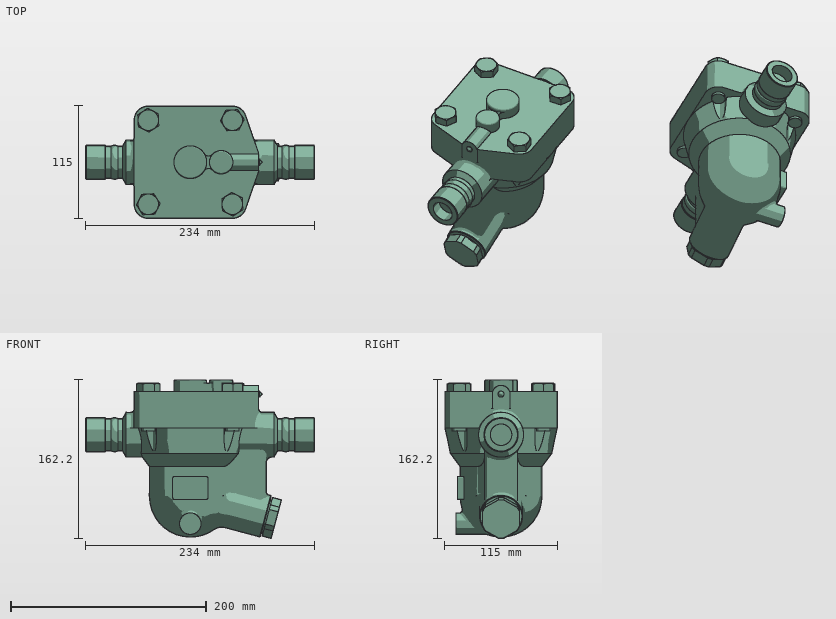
import cadquery as cq
import math


PIPE_LEFT = -107.0
PIPE_RIGHT = 127.0
PIPE_MID = (PIPE_LEFT + PIPE_RIGHT) / 2
PIPE_HALF = (PIPE_RIGHT - PIPE_LEFT) / 2
HUB_D = 46.0
HUB_HALF = 75.7
STUB_D = 35.0
STUB_LENGTH = 20.5
NECK_D = 33.2
NECK_HALF = 79.3
BEAD_START = 84.0
BEAD_END = 91.0
STUB_CHAMFER = 0.7
BORE_D = 22.0
BORE_DEPTH = 12.5

BOLT_OFFSET = 43.0
FLANGE_CORNER_R = 14.5
FLANGE_NOSE_X = 70.0
FLANGE_NOSE_HALF = 9.0
FLANGE_BOTTOM = 7.0
FLANGE_SPLIT = 26.8
COVER_TOP = 44.4
HUB_FILLET = 3.5

HEX_HALF_ANGLE = math.radians(30)
BOLT_CHAMFER_ANGLE = math.radians(30)
BOLT_FLATS = 21.0
BOLT_HEAD_HEIGHT = 8.3
BOLT_TWIST = 3.0
BOLT_END_D = 14.0
BOLT_END_LENGTH = 3.0
SCALLOP_R = 8.4

SKIRT_TOP_R = 57.5
SHOULDER_R = 52.0
SHOULDER_Z = -19.0
BARREL_R = 42.0
BARREL_TOP_Z = -32.4
DOME_Z = -62.8

BOSS_TOP = 56.0
MAIN_BOSS_R = 16.75
SIDE_BOSS_R = 12.0
SIDE_BOSS_X = 31.6
BOSS_FILLET = 1.5
WEB_TOP = 52.7
WEB_FILLET = 5.5
TUBE_R = 9.0
TUBE_Z = 41.5
TIP_R = 3.1
TIP_STRAIGHT = 0.7
TIP_LENGTH = 3.7
TIP_ROOT = 1.0

PORT_ANGLE = math.radians(15)
PORT_D = 44.0
PORT_LENGTH = 80.0
PORT_FILLET = 14.0
PORT_CHAMFER = 0.7
COLLAR_D = 35.0
COLLAR_LENGTH = 1.6
PLUG_FLATS = 38.0
PLUG_CORNER_D = 41.0
PLUG_THICKNESS = 9.5

RIB_HALF = 16.8
RIB_END_X = 77.8
RIB_EDGE_R = 6.5
RIB_BLEND_R = 16.5
RIB_FOOT = 10.0
RIB_TOP = -8.0
RIB_PIPE_FILLET = 5.5
RIB_PORT_FILLET = 3.0
RIB_FILLET_START_X = 55.0

DRAIN_D = 22.0
DRAIN_Z = -91.0
DRAIN_FACE_Y = -46.3
DRAIN_FILLET = 3.0
DRAIN_RIM = 0.6
PLATE_WIDTH = 36.0
PLATE_HEIGHT = 24.0
PLATE_Z = -54.5
PLATE_FACE_Y = -44.8
PLATE_CORNER_R = 2.0

BOX_MARGIN = 1.0


def cylinder(radius, bottom, top, x=0.0, y=0.0):
    """Upright cylinder between two heights."""
    return cq.Workplane("XY", origin=(x, y, bottom)).circle(radius).extrude(top - bottom)


def hexagon(flats, height):
    """Hexagonal prism standing on the XY plane."""
    return cq.Workplane("XY").polygon(6, flats / math.cos(HEX_HALF_ANGLE)).extrude(height)


def bolt_head():
    """Hexagon head, its upper corners turned off at an angle."""
    corners = BOLT_FLATS / math.cos(HEX_HALF_ANGLE)
    run = (corners - BOLT_FLATS) / 2
    drop = run * math.tan(BOLT_CHAMFER_ANGLE)
    turned = cylinder(corners / 2, 0, BOLT_HEAD_HEIGHT).faces(">Z").chamfer(drop, run)
    return hexagon(BOLT_FLATS, BOLT_HEAD_HEIGHT).intersect(turned)


def fillet_near(solid, low, high, radius):
    """Fillet the edges whose centres lie in the box between two corners."""
    return solid.edges(cq.selectors.BoxSelector(low, high)).fillet(radius)


def pipe_end():
    """One pipe end with hub, cone, beaded neck and stub, lying along +X from the origin."""
    bead_mid = (BEAD_START + BEAD_END) / 2
    stub_start = PIPE_HALF - STUB_LENGTH
    outline = (
        cq.Workplane("XY")
        .moveTo(0, 0)
        .lineTo(0, HUB_D / 2)
        .lineTo(HUB_HALF, HUB_D / 2)
        .lineTo(NECK_HALF, NECK_D / 2)
        .lineTo(BEAD_START, NECK_D / 2)
        .threePointArc((bead_mid, STUB_D / 2), (BEAD_END, NECK_D / 2))
        .lineTo(stub_start, NECK_D / 2)
        .lineTo(stub_start, STUB_D / 2 - STUB_CHAMFER)
        .lineTo(stub_start + STUB_CHAMFER, STUB_D / 2)
        .lineTo(PIPE_HALF - STUB_CHAMFER, STUB_D / 2)
        .lineTo(PIPE_HALF, STUB_D / 2 - STUB_CHAMFER)
        .lineTo(PIPE_HALF, 0)
        .close()
    )
    return outline.revolve(360, (0, 0, 0), (1, 0, 0))


def pipe():
    """Both pipe ends, mirrored about the middle of the pipe."""
    end = pipe_end()
    both = end.union(end.mirror("YZ"))
    return both.translate((PIPE_MID, 0, 0))


def bores():
    """Blind bores in both pipe ends."""
    left = cq.Workplane("YZ", origin=(PIPE_LEFT, 0, 0)).circle(BORE_D / 2).extrude(BORE_DEPTH)
    right = cq.Workplane("YZ", origin=(PIPE_RIGHT, 0, 0)).circle(BORE_D / 2).extrude(-BORE_DEPTH)
    return left.union(right)


def flange_plate(bottom, top):
    """Square plate with rounded corners whose +X side tapers to a blunt nose."""
    side = BOLT_OFFSET + FLANGE_CORNER_R
    to_nose_x = FLANGE_NOSE_X - BOLT_OFFSET
    to_nose_y = FLANGE_NOSE_HALF - BOLT_OFFSET
    nose_distance = math.hypot(to_nose_x, to_nose_y)
    tangent_angle = math.atan2(to_nose_y, to_nose_x) + math.acos(FLANGE_CORNER_R / nose_distance)
    middle_angle = (tangent_angle + math.pi / 2) / 2

    def on_corner(angle, sign):
        x = BOLT_OFFSET + FLANGE_CORNER_R * math.cos(angle)
        y = BOLT_OFFSET + FLANGE_CORNER_R * math.sin(angle)
        return (x, sign * y)

    diagonal = BOLT_OFFSET + FLANGE_CORNER_R / math.sqrt(2)
    return (
        cq.Workplane("XY", origin=(0, 0, bottom))
        .moveTo(-BOLT_OFFSET, -side)
        .lineTo(BOLT_OFFSET, -side)
        .threePointArc(on_corner(middle_angle, -1), on_corner(tangent_angle, -1))
        .lineTo(FLANGE_NOSE_X, -FLANGE_NOSE_HALF)
        .lineTo(FLANGE_NOSE_X, FLANGE_NOSE_HALF)
        .lineTo(*on_corner(tangent_angle, 1))
        .threePointArc(on_corner(middle_angle, 1), (BOLT_OFFSET, side))
        .lineTo(-BOLT_OFFSET, side)
        .threePointArc((-diagonal, diagonal), (-side, BOLT_OFFSET))
        .lineTo(-side, -BOLT_OFFSET)
        .threePointArc((-diagonal, -diagonal), (-BOLT_OFFSET, -side))
        .close()
        .extrude(top - bottom)
    )


def flanged_pipe():
    """Lower flange on the pipe, blended where the hub leaves the flange sides."""
    joined = flange_plate(FLANGE_BOTTOM, FLANGE_SPLIT).union(pipe())
    side = BOLT_OFFSET + FLANGE_CORNER_R
    reach = HUB_D / 2 + BOX_MARGIN
    low_z = FLANGE_BOTTOM + BOX_MARGIN
    left_low = (-side - BOX_MARGIN, -reach, low_z)
    left_high = (-side + BOX_MARGIN, reach, reach)
    right_low = (BOLT_OFFSET, -reach, low_z)
    right_high = (FLANGE_NOSE_X + BOX_MARGIN, reach, reach)
    joined = fillet_near(joined, left_low, left_high, HUB_FILLET)
    return fillet_near(joined, right_low, right_high, HUB_FILLET)


def body():
    """Tapered skirt, shoulder, barrel and domed bottom, relieved under the bolts."""
    dome_45 = BARREL_R / math.sqrt(2)
    shell = (
        cq.Workplane("XZ")
        .moveTo(0, FLANGE_BOTTOM)
        .lineTo(SKIRT_TOP_R, FLANGE_BOTTOM)
        .lineTo(SHOULDER_R, SHOULDER_Z)
        .lineTo(BARREL_R, BARREL_TOP_Z)
        .lineTo(BARREL_R, DOME_Z)
        .threePointArc((dome_45, DOME_Z - dome_45), (0, DOME_Z - BARREL_R))
        .close()
        .revolve(360, (0, 0, 0), (0, 1, 0))
    )
    for x in (-BOLT_OFFSET, BOLT_OFFSET):
        for y in (-BOLT_OFFSET, BOLT_OFFSET):
            shell = shell.cut(cylinder(SCALLOP_R, SHOULDER_Z, FLANGE_BOTTOM, x, y))
    return shell


def bolts():
    """Heads and lower ends of four bolts, each bolt turned a quarter from the last."""
    head = bolt_head().rotate((0, 0, 0), (0, 0, 1), BOLT_TWIST)
    head = head.translate((-BOLT_OFFSET, -BOLT_OFFSET, COVER_TOP))
    end_bottom = FLANGE_BOTTOM - BOLT_END_LENGTH
    end = cylinder(BOLT_END_D / 2, end_bottom, FLANGE_SPLIT, -BOLT_OFFSET, -BOLT_OFFSET)
    pieces = []
    for turn in range(4):
        for piece in (head, end):
            pieces.append(piece.rotate((0, 0, 0), (0, 0, 1), 90 * turn))
    return pieces


def boss_web():
    """Waisted web between the cover bosses, its sides arcs tangent to both bosses."""
    to_main = MAIN_BOSS_R + WEB_FILLET
    to_side = SIDE_BOSS_R + WEB_FILLET
    arc_x = (to_main**2 - to_side**2 + SIDE_BOSS_X**2) / (2 * SIDE_BOSS_X)
    arc_y = math.sqrt(to_main**2 - arc_x**2)
    main_x = arc_x * MAIN_BOSS_R / to_main
    main_y = arc_y * MAIN_BOSS_R / to_main
    side_x = SIDE_BOSS_X + (arc_x - SIDE_BOSS_X) * SIDE_BOSS_R / to_side
    side_y = arc_y * SIDE_BOSS_R / to_side
    waist = arc_y - WEB_FILLET
    return (
        cq.Workplane("XY", origin=(0, 0, FLANGE_SPLIT))
        .moveTo(main_x, -main_y)
        .threePointArc((arc_x, -waist), (side_x, -side_y))
        .lineTo(side_x, side_y)
        .threePointArc((arc_x, waist), (main_x, main_y))
        .close()
        .extrude(WEB_TOP - FLANGE_SPLIT)
    )


def cover():
    """Cover plate with two bosses, the web between them, and the tube with its pointed tip."""
    main_boss = cylinder(MAIN_BOSS_R, FLANGE_SPLIT, BOSS_TOP).faces(">Z").edges().fillet(BOSS_FILLET)
    side_boss = cylinder(SIDE_BOSS_R, FLANGE_SPLIT, BOSS_TOP, SIDE_BOSS_X)
    side_boss = side_boss.faces(">Z").edges().fillet(BOSS_FILLET)
    tube_run = FLANGE_NOSE_X - SIDE_BOSS_X
    tube = cq.Workplane("YZ", origin=(SIDE_BOSS_X, 0, TUBE_Z)).circle(TUBE_R).extrude(tube_run)
    tip = (
        cq.Workplane("XY")
        .polyline([(-TIP_ROOT, 0), (-TIP_ROOT, TIP_R), (TIP_STRAIGHT, TIP_R), (TIP_LENGTH, 0)])
        .close()
        .revolve(360, (0, 0, 0), (1, 0, 0))
        .translate((FLANGE_NOSE_X, 0, TUBE_Z))
    )
    plate = flange_plate(FLANGE_SPLIT, COVER_TOP)
    return plate.union(main_boss).union(side_boss).union(boss_web()).union(tube).union(tip)


def along_port(distance):
    """Plane square to the port axis at a distance from the dome centre."""
    cosine = math.cos(PORT_ANGLE)
    sine = math.sin(PORT_ANGLE)
    return cq.Plane(
        origin=(distance * cosine, 0, DOME_Z - distance * sine),
        xDir=(sine, 0, cosine),
        normal=(cosine, 0, -sine),
    )


def port():
    """Port cylinder with a flared root that is tangent to the dome.

    The flare is an arc; its centre lies root_r from the port axis and root_distance
    along it, so that the arc touches both the dome and the port wall.
    """
    radius = PORT_D / 2
    root_r = radius + PORT_FILLET
    root_distance = math.sqrt((BARREL_R + PORT_FILLET) ** 2 - root_r**2)
    contact_share = BARREL_R / (BARREL_R + PORT_FILLET)
    middle_angle = (math.atan2(root_r, root_distance) + math.pi / 2) / 2
    middle = (
        root_r - PORT_FILLET * math.sin(middle_angle),
        root_distance - PORT_FILLET * math.cos(middle_angle),
    )
    profile_plane = cq.Plane(
        origin=(0, 0, DOME_Z),
        xDir=along_port(0).xDir.toTuple(),
        normal=(0, 1, 0),
    )
    return (
        cq.Workplane(profile_plane)
        .moveTo(0, 0)
        .lineTo(root_r * contact_share, root_distance * contact_share)
        .threePointArc(middle, (radius, root_distance))
        .lineTo(radius, PORT_LENGTH - PORT_CHAMFER)
        .lineTo(radius - PORT_CHAMFER, PORT_LENGTH)
        .lineTo(0, PORT_LENGTH)
        .close()
        .revolve(360, (0, 0, 0), (0, 1, 0))
    )


def plug():
    """Hexagon plug with turned-down corners, on a round collar at the port end."""
    collar = cq.Workplane(along_port(PORT_LENGTH)).circle(COLLAR_D / 2).extrude(COLLAR_LENGTH)
    turned = cylinder(PLUG_CORNER_D / 2, 0, PLUG_THICKNESS)
    head = hexagon(PLUG_FLATS, PLUG_THICKNESS).intersect(turned)
    seat = along_port(PORT_LENGTH + COLLAR_LENGTH)
    return collar.union(cq.Workplane(head.val().moved(seat.location)))


def rib():
    """Upright rib under the pipe, blended into the barrel and rounded at its free edges.

    It ends on a slope parallel to the port axis, just inside the port wall.
    """
    rib_bottom = DOME_Z - RIB_END_X * math.tan(PORT_ANGLE)
    blend_y = RIB_HALF + RIB_BLEND_R
    blend_x = math.sqrt((BARREL_R + RIB_BLEND_R) ** 2 - blend_y**2)
    barrel_share = BARREL_R / (BARREL_R + RIB_BLEND_R)
    start = (blend_x * barrel_share, blend_y * barrel_share)
    middle_angle = (math.atan2(blend_y, blend_x) + math.pi / 2) / 2
    middle = (
        blend_x - RIB_BLEND_R * math.cos(middle_angle),
        blend_y - RIB_BLEND_R * math.sin(middle_angle),
    )
    edge_x = RIB_END_X - RIB_EDGE_R
    edge_y = RIB_HALF - RIB_EDGE_R
    edge_45 = RIB_EDGE_R / math.sqrt(2)
    upright = (
        cq.Workplane("XY", origin=(0, 0, rib_bottom))
        .moveTo(0, -start[1])
        .lineTo(start[0], -start[1])
        .threePointArc((middle[0], -middle[1]), (blend_x, -RIB_HALF))
        .lineTo(edge_x, -RIB_HALF)
        .threePointArc((edge_x + edge_45, -edge_y - edge_45), (RIB_END_X, -edge_y))
        .lineTo(RIB_END_X, edge_y)
        .threePointArc((edge_x + edge_45, edge_y + edge_45), (edge_x, RIB_HALF))
        .lineTo(blend_x, RIB_HALF)
        .threePointArc(middle, start)
        .lineTo(0, start[1])
        .close()
        .extrude(RIB_TOP - rib_bottom)
    )
    foot_width = 3 * BARREL_R
    foot_depth = 2 * BARREL_R
    below = cq.Workplane(along_port(0)).center(RIB_FOOT - foot_depth / 2, 0)
    below = below.rect(foot_depth, foot_width).extrude(2 * PORT_LENGTH)
    return upright.cut(below)


def drain_boss():
    """Round boss facing -Y with a slightly rounded rim."""
    plane = cq.Workplane("XZ", origin=(0, DRAIN_FACE_Y, DRAIN_Z))
    boss = plane.circle(DRAIN_D / 2).extrude(DRAIN_FACE_Y)
    return boss.faces("<Y").edges().fillet(DRAIN_RIM)


def name_plate():
    """Raised rectangular pad with rounded corners."""
    plane = cq.Workplane("XZ", origin=(0, PLATE_FACE_Y, PLATE_Z))
    pad = plane.rect(PLATE_WIDTH, PLATE_HEIGHT).extrude(PLATE_FACE_Y / 2)
    return pad.edges("|Y").fillet(PLATE_CORNER_R)


def body_with_drain():
    """Body and drain boss with a fillet around the boss."""
    joined = body().union(drain_boss())
    low = (-DRAIN_D, -BARREL_R, DOME_Z - BARREL_R)
    high = (DRAIN_D, -BOX_MARGIN, DRAIN_Z + DRAIN_D)
    return fillet_near(joined, low, high, DRAIN_FILLET)


def housing():
    """Everything below the cover, with the rib filleted into the port and the pipe."""
    reach = RIB_HALF + BOX_MARGIN
    end_x = RIB_END_X + BOX_MARGIN
    port_low = (RIB_FILLET_START_X, -reach, DOME_Z - RIB_FOOT)
    port_high = (end_x, reach, DOME_Z + RIB_FOOT)
    pipe_low = (RIB_FILLET_START_X, -reach, -HUB_D / 2 - BOX_MARGIN)
    pipe_high = (end_x, reach, -HUB_D / 4)
    joined = body_with_drain().union(rib()).union(port())
    joined = fillet_near(joined, port_low, port_high, RIB_PORT_FILLET)
    joined = joined.union(flanged_pipe())
    joined = fillet_near(joined, pipe_low, pipe_high, RIB_PIPE_FILLET)
    return joined.union(name_plate()).union(plug())


result = housing().union(cover(), clean=False)
for piece in bolts():
    result = result.union(piece, clean=False)
result = result.cut(bores(), clean=False)